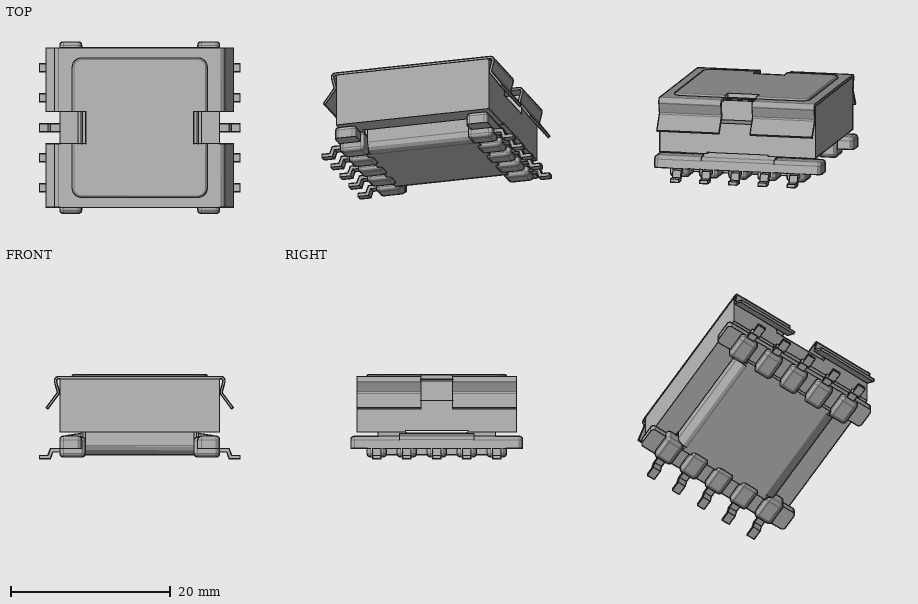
import cadquery as cq
import math

CORE_SIDE = 20.0
CORE_BOTTOM = 3.35
CORE_TOP = 10.0
UNDER_RECESS_WIDTH = 7.8
UNDER_RECESS_DEPTH = 0.17
GROOVE_FLOOR = 7.32
GROOVE_FLOOR_WIDTH = 7.0
GROOVE_TOP_WIDTH = UNDER_RECESS_WIDTH
GROOVE_END_X = 7.75
GAP_INNER_X = 7.35
GAP_FLOOR = 6.3
LIP_INNER_X = 7.18
LIP_TOP = 9.74
STEP_INNER_X = 6.79
STEP_TOP = 9.9

CLIP_WIDTH = 19.95
SHEET = 0.3
CLIP_TOP = CORE_TOP + SHEET
CLIP_NOTCH_WIDTH = 4.0
CLIP_NOTCH_X = 6.72
BEND_X = 10.65
KNEE_X = 10.15
KNEE_Z = 8.25
TIP_X = 11.6
TIP_Z = 6.3
BEND_RADIUS = 0.25
PAD_X = 16.9
PAD_Y = 17.45
PAD_TOP = 10.53
PAD_CORNER = 1.2
PAD_ROUND = 0.21

FLANGE_OUTER_X = CORE_SIDE / 2
FLANGE_INNER_X = 7.25
FLANGE_LENGTH = 21.48
FLANGE_BOTTOM = 1.3
FLANGE_TOP = 2.83
ROUND = 0.45
WEDGE_WIDTH = 9.35
WEDGE_INNER_X = 7.3
WEDGE_OUTER_Z = 2.77
WEDGE_ROUND = 0.4
WEDGE_INNER_Z = 3.2
WALL_OUTER_X = 7.37
WALL_STEP_X = 7.12
WALL_INNER_X = 6.78
WALL_LENGTH = 14.72
WALL_STEP_LENGTH = 14.6
WINDING_LENGTH = 14.4
WINDING_BOTTOM = 0.48
WINDING_ROUND = 1.2
CHANNEL_BOTTOM = 3.2
CHANNEL_FLOOR_WIDTH = 7.32

PIN_COUNT = 5
PIN_PITCH = 3.75
FOOT_WIDTH = 2.45
FOOT_BOTTOM = 0.22
FOOT_TOP = 2.7
LEAD_WIDTH = 1.04
LEAD_TIP_X = 12.54
LEAD_ROOT_X = 9.0
LEAD_PAD_TOP = 0.42
LEAD_PAD_END = 11.16
LEAD_PAD_TOP_END = 11.5
LEAD_SHOULDER_END = 11.16
LEAD_SHOULDER_BOTTOM_END = 10.87
LEAD_SHOULDER_BOTTOM = 0.85


def box(x0, x1, width, z0, z1):
    """Box from x0 to x1 and z0 to z1, centred on Y = 0."""
    return cq.Workplane("XY").box(x1 - x0, width, z1 - z0).translate(((x0 + x1) / 2, 0, (z0 + z1) / 2))


def xz_prism(points, width):
    """Outline in the XZ plane extruded symmetrically about Y = 0."""
    return cq.Workplane("XZ").polyline(points).close().extrude(width / 2, both=True)


def channel(x0, x1, floor_width, top_width, z0, z1):
    """Trapezoidal bar along X."""
    outline = [
        (-floor_width / 2, z0),
        (floor_width / 2, z0),
        (top_width / 2, z1),
        (-top_width / 2, z1),
    ]
    return cq.Workplane("YZ").workplane(offset=x0).polyline(outline).close().extrude(x1 - x0)


def both_ends(end):
    """The -X end piece together with its mirror image at +X."""
    return end.union(end.mirror("YZ"))


def make_core():
    half = CORE_SIDE / 2
    core = box(-half, half, CORE_SIDE, CORE_BOTTOM, CORE_TOP)
    core = core.cut(box(-half, half, UNDER_RECESS_WIDTH, CORE_BOTTOM, CORE_BOTTOM + UNDER_RECESS_DEPTH))
    taper = (GROOVE_TOP_WIDTH - GROOVE_FLOOR_WIDTH) / (CORE_TOP - GROOVE_FLOOR)
    grooves = [
        (half, GROOVE_END_X, GROOVE_FLOOR),
        (GROOVE_END_X, GAP_INNER_X, GAP_FLOOR),
        (GAP_INNER_X, LIP_INNER_X, LIP_TOP),
        (LIP_INNER_X, STEP_INNER_X, STEP_TOP),
    ]
    for outer_x, inner_x, floor in grooves:
        floor_width = GROOVE_TOP_WIDTH - taper * (CORE_TOP - floor)
        groove = channel(-outer_x, -inner_x, floor_width, GROOVE_TOP_WIDTH, floor, CORE_TOP)
        core = core.cut(both_ends(groove))
    return core


def strip_side(path, offset):
    """Points of a path shifted sideways by offset, with mitred corners."""
    angles = [math.atan2(b[1] - a[1], b[0] - a[0]) for a, b in zip(path, path[1:])]
    before = [angles[0]] + angles
    after = angles + [angles[-1]]
    points = []
    for (x, z), a0, a1 in zip(path, before, after):
        middle = (a0 + a1) / 2
        reach = offset / math.cos((a1 - a0) / 2)
        points.append((x - reach * math.sin(middle), z + reach * math.cos(middle)))
    return points


def make_clip():
    top_middle = CLIP_TOP - SHEET / 2
    path = [(0, top_middle), (BEND_X, top_middle), (KNEE_X, KNEE_Z), (TIP_X, TIP_Z)]
    outer = strip_side(path, SHEET / 2)
    inner = strip_side(path, -SHEET / 2)
    half_clip = xz_prism(outer + inner[::-1], CLIP_WIDTH)
    bends = [
        (outer[1], BEND_RADIUS + SHEET),
        (inner[1], BEND_RADIUS),
        (outer[2], BEND_RADIUS),
        (inner[2], BEND_RADIUS + SHEET),
    ]
    for (x, z), radius in bends:
        edge = cq.selectors.NearestToPointSelector((x, 0, z))
        half_clip = half_clip.edges("|Y").edges(edge).fillet(radius)
    clip = both_ends(half_clip)

    pad = (
        cq.Workplane("XY", origin=(0, 0, CLIP_TOP))
        .rect(PAD_X, PAD_Y)
        .extrude(PAD_TOP - CLIP_TOP)
        .edges("|Z")
        .fillet(PAD_CORNER)
        .faces(">Z")
        .edges()
        .fillet(PAD_ROUND)
    )
    clip = clip.union(pad)
    notch = box(-TIP_X - SHEET, -CLIP_NOTCH_X, CLIP_NOTCH_WIDTH, TIP_Z - SHEET, PAD_TOP)
    return clip.cut(both_ends(notch))


def round_bottom_bar(x0, x1, length):
    """Bar reaching up to the core, with its two lower edges rounded."""
    return box(x0, x1, length, WINDING_BOTTOM, CORE_BOTTOM).edges("|X and <Z").fillet(WINDING_ROUND)


def make_bobbin():
    flange = box(-FLANGE_OUTER_X, -FLANGE_INNER_X, FLANGE_LENGTH, FLANGE_BOTTOM, FLANGE_TOP)
    flange = flange.edges("|Z or >Z").fillet(ROUND)
    wedge = xz_prism(
        [
            (-FLANGE_OUTER_X, FLANGE_BOTTOM),
            (-FLANGE_OUTER_X, WEDGE_OUTER_Z),
            (-WEDGE_INNER_X, WEDGE_INNER_Z),
            (-WEDGE_INNER_X, FLANGE_BOTTOM),
        ],
        WEDGE_WIDTH,
    )
    wedge = wedge.edges("|Y").edges("<X").edges(">Z").fillet(WEDGE_ROUND)
    wall = round_bottom_bar(-WALL_OUTER_X, -WALL_STEP_X, WALL_LENGTH)
    wall_step = round_bottom_bar(-WALL_STEP_X, -WALL_INNER_X, WALL_STEP_LENGTH)
    end = flange.union(wedge).union(wall).union(wall_step)
    winding = round_bottom_bar(-WALL_INNER_X, WALL_INNER_X, WINDING_LENGTH)
    clearance = channel(
        -WALL_OUTER_X, WALL_OUTER_X, CHANNEL_FLOOR_WIDTH, UNDER_RECESS_WIDTH, CHANNEL_BOTTOM, CORE_BOTTOM
    )
    return winding.union(both_ends(end)).cut(clearance)


def make_pin():
    """One foot of the bobbin with its gull-wing lead, at Y = 0 on the -X side."""
    foot = box(-FLANGE_OUTER_X, -WALL_INNER_X, FOOT_WIDTH, FOOT_BOTTOM, FOOT_TOP).edges().fillet(ROUND)
    lead = xz_prism(
        [
            (-LEAD_TIP_X, 0),
            (-LEAD_PAD_END, 0),
            (-LEAD_SHOULDER_BOTTOM_END, LEAD_SHOULDER_BOTTOM),
            (-LEAD_ROOT_X, LEAD_SHOULDER_BOTTOM),
            (-LEAD_ROOT_X, FLANGE_BOTTOM),
            (-LEAD_SHOULDER_END, FLANGE_BOTTOM),
            (-LEAD_PAD_TOP_END, LEAD_PAD_TOP),
            (-LEAD_TIP_X, LEAD_PAD_TOP),
        ],
        LEAD_WIDTH,
    )
    return foot.union(lead)


result = make_core().union(make_clip()).union(make_bobbin())
pin_pair = both_ends(make_pin())
for index in range(PIN_COUNT):
    pin_y = (index - (PIN_COUNT - 1) / 2) * PIN_PITCH
    result = result.union(pin_pair.translate((0, pin_y, 0)))